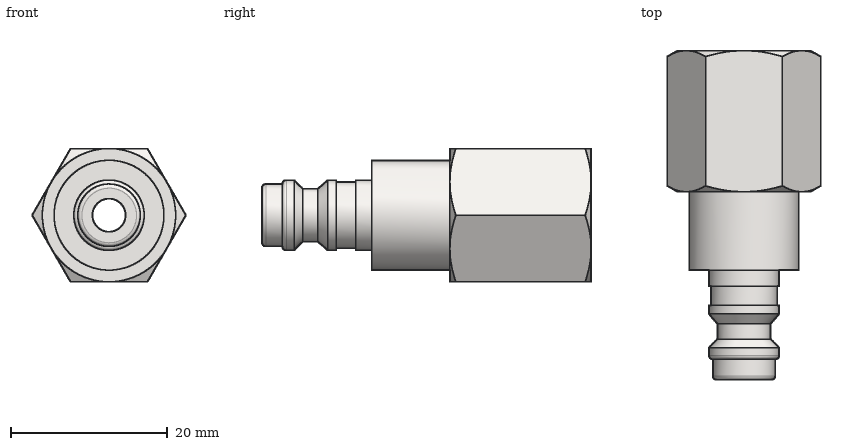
import cadquery as cq
import math

TOTAL_LENGTH = 42.0
BORE_RADIUS = 2.1

HEX_SIDES = 6
ACROSS_FLATS = 17.0
HEX_START = 24.0
CORNER_CHAMFER_ANGLE = 30.0

SHOULDER_RADIUS = 7.0
RIM_RADIUS = 4.5
NECK_RADIUS = 4.25
GROOVE_RADIUS = 3.4
TIP_RADIUS = 4.0

TIP_END = 2.6
FRONT_RIM_END = 4.1
GROOVE_START = 5.2
GROOVE_END = 7.15
REAR_RIM_START = 8.4
REAR_RIM_END = 9.5
COLLAR_START = 11.95
SHOULDER_START = 14.0

TIP_ROUND = 0.5
RIM_ROUND = RIM_RADIUS - TIP_RADIUS


def make_round_plug():
    """Turned plug and shoulder, revolved from a half profile (radius along X)."""
    diagonal = math.sqrt(0.5)
    tip_round_mid = (
        TIP_RADIUS - TIP_ROUND * (1 - diagonal),
        TIP_ROUND * (1 - diagonal),
    )
    rim_round_mid = (
        RIM_RADIUS - RIM_ROUND * (1 - diagonal),
        TIP_END + RIM_ROUND * (1 - diagonal),
    )
    profile = (
        cq.Workplane("XY")
        .lineTo(TIP_RADIUS - TIP_ROUND, 0)
        .threePointArc(tip_round_mid, (TIP_RADIUS, TIP_ROUND))
        .lineTo(TIP_RADIUS, TIP_END)
        .threePointArc(rim_round_mid, (RIM_RADIUS, TIP_END + RIM_ROUND))
        .lineTo(RIM_RADIUS, FRONT_RIM_END)
        .lineTo(GROOVE_RADIUS, GROOVE_START)
        .lineTo(GROOVE_RADIUS, GROOVE_END)
        .lineTo(RIM_RADIUS, REAR_RIM_START)
        .lineTo(RIM_RADIUS, REAR_RIM_END)
        .lineTo(NECK_RADIUS, REAR_RIM_END)
        .lineTo(NECK_RADIUS, COLLAR_START)
        .lineTo(RIM_RADIUS, COLLAR_START)
        .lineTo(RIM_RADIUS, SHOULDER_START)
        .lineTo(SHOULDER_RADIUS, SHOULDER_START)
        .lineTo(SHOULDER_RADIUS, HEX_START)
        .lineTo(0, HEX_START)
        .close()
    )
    return profile.revolve(360, (0, 0, 0), (0, 1, 0))


def make_hex_body():
    """Hexagonal prism whose corners are cut by a cone at both ends."""
    inner_radius = ACROSS_FLATS / 2
    corner_radius = inner_radius / math.cos(math.pi / HEX_SIDES)
    chamfer_depth = (corner_radius - inner_radius) * math.tan(math.radians(CORNER_CHAMFER_ANGLE))
    prism = (
        cq.Workplane("XZ", origin=(0, HEX_START, 0))
        .polygon(HEX_SIDES, 2 * corner_radius)
        .extrude(HEX_START - TOTAL_LENGTH)
    )
    coned_blank = (
        cq.Workplane("XY")
        .moveTo(0, HEX_START)
        .lineTo(inner_radius, HEX_START)
        .lineTo(corner_radius, HEX_START + chamfer_depth)
        .lineTo(corner_radius, TOTAL_LENGTH - chamfer_depth)
        .lineTo(inner_radius, TOTAL_LENGTH)
        .lineTo(0, TOTAL_LENGTH)
        .close()
        .revolve(360, (0, 0, 0), (0, 1, 0))
    )
    return prism.intersect(coned_blank)


def make_bore():
    """Straight bore through the full length."""
    return cq.Workplane("XZ").circle(BORE_RADIUS).extrude(-TOTAL_LENGTH)


result = make_round_plug().union(make_hex_body()).cut(make_bore())